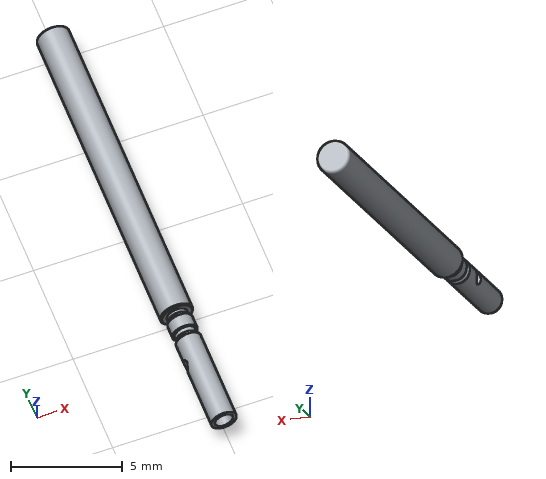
import cadquery as cq
import math

length = 21.72
body_radius = 0.78
shank_radius = 0.6
groove_radius = 0.5

shank_length = 4.5
front_groove_end = 4.93
collar_end = 5.55
shoulder_position = 5.93

shoulder_chamfer = 0.07
rear_rounding = 0.13
flare_length = 0.2

bore_radius = 0.43
bore_depth = 4.13
drill_point_angle = 118.0
inspection_radius = 0.28
inspection_position = 3.25

tip_y = -length / 2


def revolve_about_y(points):
    """Revolve (radius, distance from tip) points around the pin axis."""
    profile = [(radius, tip_y + distance) for radius, distance in points]
    return cq.Workplane("XY").polyline(profile).close().revolve(360, (0, 0), (0, 1))


def make_pin():
    """Stepped body with two grooves, each with one flared and one square wall."""
    pin = revolve_about_y([
        (0, 0),
        (shank_radius, 0),
        (shank_radius, shank_length),
        (groove_radius, shank_length + flare_length),
        (groove_radius, front_groove_end),
        (shank_radius, front_groove_end),
        (shank_radius, collar_end),
        (groove_radius, collar_end + flare_length),
        (groove_radius, shoulder_position),
        (body_radius - shoulder_chamfer, shoulder_position),
        (body_radius, shoulder_position + shoulder_chamfer),
        (body_radius, length),
        (0, length),
    ])
    return pin.faces(">Y").edges().fillet(rear_rounding)


def make_bore():
    """Blind bore ending in a drill point."""
    point_depth = bore_radius / math.tan(math.radians(drill_point_angle / 2))
    return revolve_about_y([
        (0, 0),
        (bore_radius, 0),
        (bore_radius, bore_depth),
        (0, bore_depth + point_depth),
    ])


def make_inspection_hole():
    """Radial hole from the -X side into the bore."""
    return (
        cq.Workplane("YZ")
        .center(tip_y + inspection_position, 0)
        .circle(inspection_radius)
        .extrude(-body_radius)
    )


result = make_pin().cut(make_bore()).cut(make_inspection_hole())